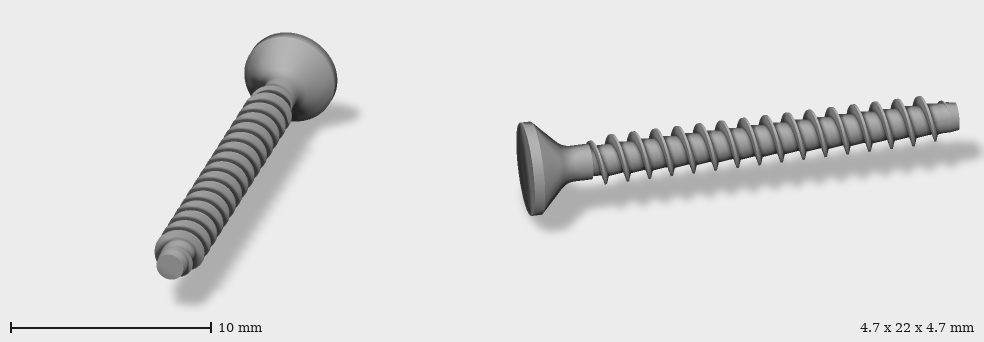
import cadquery as cq
import math


screw_length = 22.0

head_diameter = 4.7
head_rim_height = 0.53
shank_diameter = 1.8
shank_end_depth = 3.28
head_cone_angle = 45.0
head_fillet_radius = 1.0

core_radius = 0.76
tip_radius = 0.70
tip_taper_length = 0.45

pitch = 1.121
crest_radius = 1.23
crest_width = 0.12
flank_run = 0.14
crest_depth_at_plus_x = 4.34
full_thread_start = 3.84
full_thread_end = 20.50
run_out_length = 1.30

root_high_radius = 0.84
root_low_radius = 0.755
root_slope_length = 0.70

buried_radius = 0.55
sunk_root_low_radius = 0.57
sunk_root_high_radius = 0.60
sunk_crest_radius = 0.65
sunk_width_ratio = 0.2

points_per_turn = 24

crest_half = crest_width / 2
flank_foot = crest_half + flank_run
root_end = flank_foot + root_slope_length

full_section = [
    (-flank_foot, buried_radius),
    (-crest_half, crest_radius),
    (crest_half, crest_radius),
    (flank_foot, root_high_radius),
    (root_end, root_low_radius),
    (root_end, buried_radius),
]

sunk_radii = [
    buried_radius,
    sunk_crest_radius,
    sunk_crest_radius,
    sunk_root_high_radius,
    sunk_root_low_radius,
    buried_radius,
]
sunk_section = []
for (full_offset, _), sunk_radius in zip(full_section, sunk_radii):
    sunk_section.append((full_offset * sunk_width_ratio, sunk_radius))


def make_body():
    """Head, neck fillet, shank, core and tapered tip as one revolved profile."""
    head_radius = head_diameter / 2
    shank_radius = shank_diameter / 2
    cone_angle = math.radians(head_cone_angle)
    half_angle = cone_angle / 2
    cone_meets_shank = head_rim_height + (head_radius - shank_radius) / math.tan(cone_angle)
    fillet_end_depth = cone_meets_shank + head_fillet_radius * math.tan(half_angle)
    fillet_centre_radius = shank_radius + head_fillet_radius

    def fillet_point(angle):
        """Point on the neck fillet, turned by angle from its end on the shank."""
        return (
            fillet_centre_radius - head_fillet_radius * math.cos(angle),
            fillet_end_depth - head_fillet_radius * math.sin(angle),
        )

    return (
        cq.Workplane("XZ")
        .moveTo(0, 0)
        .lineTo(head_radius, 0)
        .lineTo(head_radius, head_rim_height)
        .lineTo(*fillet_point(cone_angle))
        .threePointArc(fillet_point(half_angle), fillet_point(0))
        .lineTo(shank_radius, shank_end_depth)
        .lineTo(core_radius, shank_end_depth)
        .lineTo(core_radius, screw_length - tip_taper_length)
        .lineTo(tip_radius, screw_length)
        .lineTo(0, screw_length)
        .close()
        .revolve(360, (0, 0, 0), (0, 1, 0))
    )


def helix_point(depth, offset, radius):
    """Point on the thread helix: its angle follows depth, its height is shifted by offset."""
    angle = 2 * math.pi * (depth - crest_depth_at_plus_x) / pitch
    return cq.Vector(radius * math.cos(angle), radius * math.sin(angle), depth + offset)


def helix_edge(start, end, start_corner, end_corner):
    """Right-hand helix that moves evenly from one (offset, radius) corner to another."""
    steps = math.ceil((end - start) / pitch * points_per_turn)
    points = []
    for step in range(steps + 1):
        fraction = step / steps
        offset = start_corner[0] + fraction * (end_corner[0] - start_corner[0])
        radius = start_corner[1] + fraction * (end_corner[1] - start_corner[1])
        points.append(helix_point(start + fraction * (end - start), offset, radius))
    return cq.Edge.makeSpline(points)


def thread_piece(start, end, start_section, end_section):
    """Solid stretch of thread between two depths, with the section given at each end."""
    edges = []
    for start_corner, end_corner in zip(start_section, end_section):
        edges.append(helix_edge(start, end, start_corner, end_corner))
    start_corners = [helix_point(start, *corner) for corner in start_section]
    end_corners = [helix_point(end, *corner) for corner in end_section]
    faces = []
    for edge, next_edge in zip(edges, edges[1:] + edges[:1]):
        faces.append(cq.Face.makeRuledSurface(edge, next_edge))
    for corners in (start_corners, end_corners):
        faces.append(cq.Face.makeFromWires(cq.Wire.makePolygon(corners, close=True)))
    return cq.Solid.makeSolid(cq.Shell.makeShell(faces))


def make_screw():
    """Body joined with the head run-out, the full thread and the tip run-out."""
    run_out_start = full_thread_start - run_out_length
    run_out_end = full_thread_end + run_out_length
    head_run_out = thread_piece(run_out_start, full_thread_start, sunk_section, full_section)
    full_thread = thread_piece(full_thread_start, full_thread_end, full_section, full_section)
    tip_run_out = thread_piece(full_thread_end, run_out_end, full_section, sunk_section)
    screw = make_body()
    for piece in (full_thread, head_run_out, tip_run_out):
        screw = screw.union(cq.Workplane(piece))
    return screw


result = make_screw().rotate((0, 0, 0), (1, 0, 0), 90)